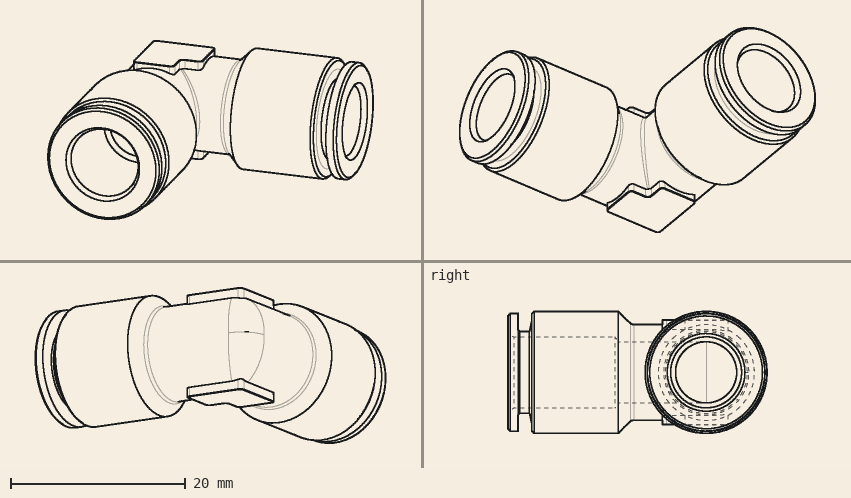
import cadquery as cq
import math

overall = 29.7
sleeve_diameter = 14.0
sleeve_radius = sleeve_diameter / 2
arm_length = overall - sleeve_radius

tube_radius = 11.0 / 2
outer_corner_fillet = 2.97
inner_corner_fillet = 0.3
crest_trim = 0.03

flare_end = 10.05
flare_start = flare_end - (sleeve_radius - tube_radius)
flare_root_fillet = 0.6
rim_chamfer = 0.3
rim_end = 20.0
sleeve_end = 20.23
sleeve_end_radius = 5.75

collar_radius = 9.4 / 2
flange_radius = 13.5 / 2
flange_thickness = 1.2
flange_chamfer = 0.3
flange_start = arm_length - flange_thickness
flange_root_length = 0.18

mouth_radius = 4.45
tube_socket_radius = 8.15 / 2
passage_radius = 7.0 / 2
mouth_depth = 0.65
socket_bottom = flare_end
socket_seat_length = 0.42

pad_half_width = 2.47
pad_reach = 5.02
pad_height = 6.0
pad_corner_fillet = 0.48
pad_edge_chamfer = 0.05


def turned_arm(profile):
    """Revolve (axial position, radius) points about the X axis."""
    return cq.Workplane("XY").polyline(profile).close().revolve(360, (0, 0, 0), (1, 0, 0))


def both_arms(arm_x):
    """Join an arm along +X with its mirror image along -Y."""
    arm_y = arm_x.rotate((0, 0, 0), (1, -1, 0), 180)
    return arm_x.union(arm_y)


def mitred_tube():
    """Two tubes that meet on the 45 degree plane, with both meeting edges rounded."""
    run = flare_start + tube_radius
    tube = cq.Workplane("YZ").workplane(offset=-tube_radius).circle(tube_radius).extrude(run)
    mitre = (
        cq.Workplane("XY")
        .polyline([(-run, run), (run, run), (run, -run)])
        .close()
        .extrude(tube_radius, both=True)
    )
    elbow = both_arms(tube.intersect(mitre))

    cap_height = tube_radius - crest_trim
    crest_cap = cq.Workplane("XY").rect(pad_half_width, pad_half_width).extrude(tube_radius)
    crest_cap = crest_cap.translate((0, 0, cap_height))
    elbow = elbow.cut(crest_cap).cut(crest_cap.mirror("XY"))

    box = cq.selectors.BoxSelector
    span = overall
    outer = box((-span, 0.03, -span), (-0.03, span, span))
    inner = box((0.03, -span, -span), (span, -0.03, span))
    elbow = elbow.edges("%ELLIPSE").edges(outer).fillet(outer_corner_fillet)
    return elbow.edges("%ELLIPSE").edges(inner).fillet(inner_corner_fillet)


def sleeve_and_collar():
    """Solid arm along +X, with a fillet where the 45 degree flare leaves the tube."""
    flare_angle = math.pi / 4
    half_angle = flare_angle / 2
    fillet_run = flare_root_fillet * math.tan(half_angle)
    fillet_drop = flare_root_fillet * (1 - math.cos(half_angle))
    diagonal = fillet_run * math.cos(flare_angle)
    fillet_start = flare_start - fillet_run
    fillet_middle = fillet_start + flare_root_fillet * math.sin(half_angle)
    profile = (
        cq.Workplane("XY")
        .moveTo(fillet_start, 0)
        .lineTo(fillet_start, tube_radius)
        .threePointArc(
            (fillet_middle, tube_radius + fillet_drop),
            (flare_start + diagonal, tube_radius + diagonal),
        )
        .lineTo(flare_end, sleeve_radius)
        .lineTo(rim_end - rim_chamfer, sleeve_radius)
        .lineTo(rim_end, sleeve_radius - rim_chamfer)
        .lineTo(rim_end, sleeve_end_radius)
        .lineTo(sleeve_end, collar_radius)
        .lineTo(flange_start - flange_root_length, collar_radius)
        .lineTo(flange_start, collar_radius + flange_root_length)
        .lineTo(flange_start, flange_radius)
        .lineTo(arm_length - flange_chamfer, flange_radius)
        .lineTo(arm_length, flange_radius - flange_chamfer)
        .lineTo(arm_length, 0)
        .close()
    )
    return profile.revolve(360, (0, 0, 0), (1, 0, 0))


def label_pads():
    pad = (
        cq.Workplane("XY")
        .polyline([
            (-pad_half_width, pad_half_width),
            (pad_reach, pad_half_width),
            (pad_reach, -pad_half_width),
            (pad_half_width, -pad_half_width),
            (pad_half_width, -pad_reach),
            (-pad_half_width, -pad_reach),
        ])
        .close()
        .extrude(pad_height, both=True)
    )
    return pad.edges("|Z").fillet(pad_corner_fillet).faces("|Z").chamfer(pad_edge_chamfer)


def bores():
    bore = turned_arm([
        (0, 0),
        (0, passage_radius),
        (socket_bottom, passage_radius),
        (socket_bottom + socket_seat_length, tube_socket_radius),
        (arm_length - mouth_depth, tube_socket_radius),
        (arm_length, mouth_radius),
        (arm_length, 0),
    ])
    return both_arms(bore).union(cq.Workplane("XY").sphere(passage_radius))


body = mitred_tube().union(both_arms(sleeve_and_collar())).union(label_pads())
result = body.cut(bores())